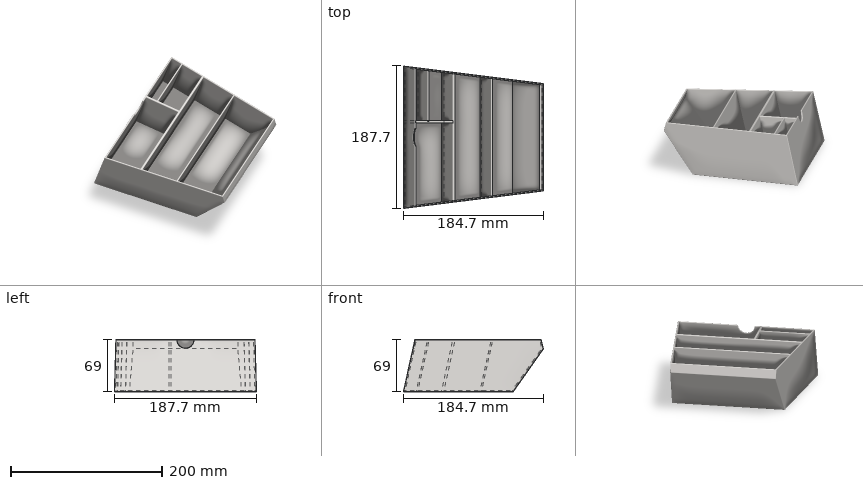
import cadquery as cq
import math

length = 185.0
front_width = 188.0
height = 69.0

lean_angle = 12.4
nose_height = 56.9
rear_foot_x = 144.9
rear_top_x = 181.9

side_taper = 0.125

wall = 2.0
outer_radius = 1.0
rim_radius = 0.98

tray_divider_x = 32.0
middle_divider_x = 65.3
rear_divider_x = 116.1
thick_divider = 3.0

cross_divider_y = 20.4

notch_radius = 11.3

lean = math.tan(math.radians(lean_angle))
lean_stretch = 1 / math.cos(math.radians(lean_angle))
front_top_x = height * lean
slope_run = (length - rear_foot_x) / nose_height
lip_run = (length - rear_top_x) / (height - nose_height)


def prism_across(points):
    """Solid with the given XZ outline, reaching past both sides of the box."""
    return cq.Workplane("XZ").polyline(points).close().extrude(front_width, both=True)


def box_inset(inset, floor):
    """Tapered box shape with its walls moved inwards by inset, open at rim height."""
    front_x = inset * lean_stretch
    slope_foot_x = rear_foot_x - inset * math.hypot(1, slope_run)
    lip_top_x = rear_top_x - inset * math.hypot(1, lip_run)
    nose_z = (lip_top_x + height * lip_run - slope_foot_x) / (slope_run + lip_run)
    profile = [
        (front_x + floor * lean, floor),
        (slope_foot_x + floor * slope_run, floor),
        (slope_foot_x + nose_z * slope_run, nose_z),
        (lip_top_x, height),
        (front_x + front_top_x, height),
    ]
    half_front = front_width / 2 - inset * math.hypot(1, side_taper)
    half_rear = half_front - length * side_taper
    plan = [
        (0, -half_front),
        (length, -half_rear),
        (length, half_rear),
        (0, half_front),
    ]
    tapered = cq.Workplane("XY").polyline(plan).close().extrude(height)
    return prism_across(profile).intersect(tapered)


def make_shell():
    """Hollow box with a finger notch, rounded outside and along its whole open rim."""
    shell = box_inset(0, 0).edges("not >Z").fillet(outer_radius)
    shell = shell.cut(box_inset(wall, wall))
    front_reach = front_top_x + wall * lean_stretch
    notch = (
        cq.Workplane("YZ")
        .center(0, height)
        .circle(notch_radius)
        .extrude(front_reach)
    )
    shell = shell.cut(notch)
    notch_zone = cq.selectors.BoxSelector(
        (0, -notch_radius, height - notch_radius),
        (front_reach, notch_radius, height - rim_radius),
    )
    notch_edges = shell.edges(notch_zone)
    return notch_edges.add(shell.faces(">Z").edges()).fillet(rim_radius)


def leaning_divider(top_x, thickness):
    """Full-width divider parallel to the front wall, with a rounded top."""
    depth = thickness * lean_stretch
    foot_x = top_x - front_top_x
    outline = [
        (foot_x, 0),
        (foot_x + depth, 0),
        (top_x + depth, height),
        (top_x, height),
    ]
    return prism_across(outline).edges("|Y and >Z").fillet(rim_radius)


def make_cross_divider():
    """Upright divider from the front wall to the middle of the middle divider."""
    rear_top = middle_divider_x + thick_divider * lean_stretch / 2
    outline = [
        (0, 0),
        (rear_top - front_top_x, 0),
        (rear_top, height),
        (0, height),
    ]
    plate = cq.Workplane("XY").box(length, thick_divider, height, centered=(False, True, False))
    plate = plate.edges("|X and >Z").fillet(rim_radius).translate((0, cross_divider_y, 0))
    return plate.intersect(prism_across(outline))


def make_dividers():
    """All dividers, ending halfway into the walls and the floor."""
    beside_cross = cq.Workplane("XY").box(length, front_width, height, centered=False)
    beside_cross = beside_cross.translate((0, cross_divider_y, 0))
    tray = leaning_divider(tray_divider_x, wall).intersect(beside_cross)
    middle = leaning_divider(middle_divider_x, thick_divider)
    rear = leaning_divider(rear_divider_x, wall)
    dividers = middle.union(rear).union(make_cross_divider()).union(tray)
    return dividers.intersect(box_inset(wall / 2, wall / 2))


result = make_shell().union(make_dividers())